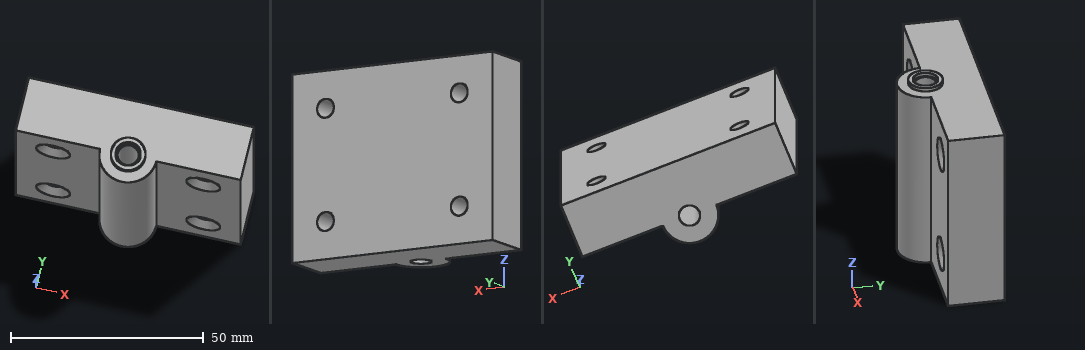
import cadquery as cq

block_width = 60.0
block_depth = 15.0
block_height = 50.0

knuckle_diameter = 15.0

collar_diameter = 9.0
collar_height = 1.0
pin_bore_diameter = 5.5
recess_diameter = 6.5
recess_depth = 1.0

screw_spacing_x = 40.0
screw_spacing_z = 30.0
screw_diameter = 5.0
countersink_diameter = 9.0
countersink_angle = 90.0

top_of_collar = block_height + collar_height


def vertical_cylinder(diameter, bottom, top):
    """Cylinder on the knuckle axis between two heights."""
    return cq.Workplane("XY").workplane(offset=bottom).circle(diameter / 2).extrude(top - bottom)


def make_body():
    """Block with the knuckle and the bushing collar."""
    block = cq.Workplane("XY").box(
        block_width, block_depth, block_height, centered=(True, False, False)
    )
    knuckle = vertical_cylinder(knuckle_diameter, 0, block_height)
    collar = vertical_cylinder(collar_diameter, block_height, top_of_collar)
    return block.union(knuckle).union(collar)


def cut_pin_bore(body):
    """Through bore with a shallow wider recess at the top of the collar."""
    bore = vertical_cylinder(pin_bore_diameter, 0, top_of_collar)
    recess = vertical_cylinder(recess_diameter, top_of_collar - recess_depth, top_of_collar)
    return body.cut(bore).cut(recess)


def cut_screw_holes(body):
    """Four holes through the block, countersunk from the front face."""
    return (
        body.copyWorkplane(cq.Workplane("XZ", origin=(0, 0, block_height / 2)))
        .rarray(screw_spacing_x, screw_spacing_z, 2, 2)
        .cskHole(screw_diameter, countersink_diameter, countersink_angle, depth=block_depth)
    )


result = cut_screw_holes(cut_pin_bore(make_body()))